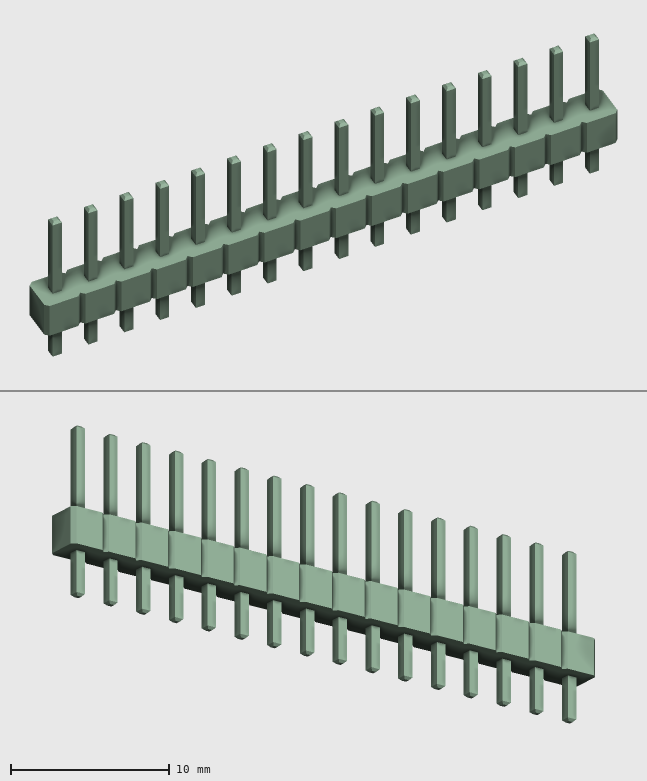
import cadquery as cq

pin_count = 16
row_length = 40.65
pitch = row_length / pin_count

cell_side = pitch
cell_chamfer = pitch / 10

pin_side = 0.65
pin_length = 11.55
pin_below_body = 3.0
tip_chamfer = 0.15


def cell_centres():
    """Points along Y at the centre of each insulator cell."""
    first_y = (pitch - row_length) / 2
    return [(0, first_y + index * pitch) for index in range(pin_count)]


def make_cell():
    """One insulator block standing on Z = 0; neighbouring chamfers form the V notches."""
    block = cq.Workplane("XY").box(cell_side, cell_side, cell_side, centered=(True, True, False))
    return block.edges("|Z").chamfer(cell_chamfer)


def make_pin():
    """One square pin passing through the block, chamfered at both ends."""
    pin = cq.Workplane("XY").box(pin_side, pin_side, pin_length, centered=(True, True, False))
    pin = pin.faces("<Z or >Z").chamfer(tip_chamfer)
    return pin.translate((0, 0, -pin_below_body))


def make_header():
    """Row of cells joined side by side, each carrying a pin."""
    station = make_cell().union(make_pin()).val()
    stations = cq.Workplane("XY").pushPoints(cell_centres()).eachpoint(station)
    return stations.combine(clean=True)


result = make_header()